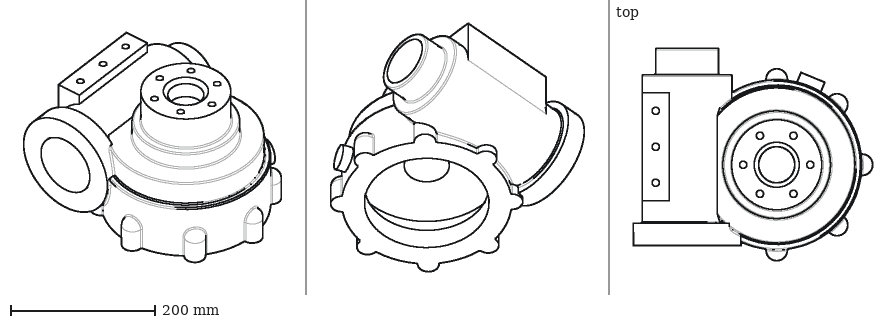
import cadquery as cq
import math


OVERALL_LENGTH = 332.0
EDGE_ROUND = 2.0
BOSS_BLEND = 2.0
TOLERANCE = 0.03
OUTLINE_SAMPLES = (0, 0.3, 0.6, 1)

BASE_RADIUS = 118.0
BASE_TOP = 84.0
COVER_RADIUS = 108.5
COVER_TOP = 121.0
COLLAR_RADIUS = 74.7
COLLAR_TOP = 146.7
HUB_RADIUS = 62.5
HUB_TOP = 198.0

WALL = 10.0
CAVITY_RADIUS = BASE_RADIUS - WALL
CAVITY_TOP = BASE_TOP - WALL
LIP_OPENING_RADIUS = 86.3
BORE_RADIUS = 25.0
BORE_CHAMFER = 6.3
BORE_LENGTH = 29.2
RELIEF_RADIUS = BORE_RADIUS + BORE_CHAMFER

BOSS_COUNT = 8
BOSS_RADIUS = 15.0
BOSS_CIRCLE_RADIUS = 118.2
BOSS_HEIGHT = 34.2

STUB_ANGLE = 67.5
STUB_RADIUS = 18.0
STUB_REACH = 131.0
STUB_HEIGHT = BASE_TOP / 2

FLANGE_RADIUS = 74.7
FLANGE_FRONT = -112.0
FLANGE_THICKNESS = 31.0
FLANGE_BACK = FLANGE_FRONT + FLANGE_THICKNESS
BARREL_RADIUS = 62.5
BARREL_END = 124.8
NECK_RADIUS = 43.8
NECK_END = 161.5
WORM_BORE_RADIUS = 43.5
WORM_BORE_END = BARREL_END - WALL
NECK_BORE_RADIUS = 35.0
NECK_BORE_CHAMFER = 3.3
WORM_X = -(OVERALL_LENGTH - BOSS_CIRCLE_RADIUS - BOSS_RADIUS - FLANGE_RADIUS)
WORM_Z = FLANGE_RADIUS

PAD_WIDTH = 37.5
PAD_LENGTH = 150.0
PAD_CENTER_Y = 25.0
PAD_TOP = 147.7
PAD_LEFT = WORM_X - BARREL_RADIUS
PAD_HOLE_COUNT = 3
PAD_HOLE_PITCH = 49.8
PAD_HOLE_INSET = 19.0

SCREW_RADIUS = 5.0
SCREW_DEPTH = 20.0
DRILL_TIP_ANGLE = 118
HUB_HOLE_COUNT = 6
HUB_HOLE_CIRCLE_RADIUS = 46.5


def disc(radius, bottom, top):
    """Cylinder on the wheel axis."""
    return cq.Workplane("XY").workplane(offset=bottom).circle(radius).extrude(top - bottom)


def worm_disc(radius, start, end):
    """Cylinder on the worm axis, from y = start to y = end."""
    plane = cq.Plane(origin=(WORM_X, start, WORM_Z), xDir=(1, 0, 0), normal=(0, 1, 0))
    return cq.Workplane(plane).circle(radius).extrude(end - start)


def wheel_housing():
    tiers = disc(BASE_RADIUS, 0, BASE_TOP)
    tiers = tiers.union(disc(COVER_RADIUS, BASE_TOP, COVER_TOP))
    tiers = tiers.union(disc(COLLAR_RADIUS, COVER_TOP, COLLAR_TOP))
    return tiers.union(disc(HUB_RADIUS, COLLAR_TOP, HUB_TOP))


def worm_barrel():
    barrel = worm_disc(FLANGE_RADIUS, FLANGE_FRONT, FLANGE_BACK)
    barrel = barrel.union(worm_disc(BARREL_RADIUS, FLANGE_BACK, BARREL_END))
    return barrel.union(worm_disc(NECK_RADIUS, BARREL_END, NECK_END))


def is_rounded(edge):
    """True for shoulders and seams; the base, hub face, flange rims and straight edges stay sharp."""
    if edge.geomType() == "LINE":
        return False
    if edge.geomType() != "CIRCLE":
        return True
    center = edge.Center()
    on_end_face = min(abs(center.z), abs(center.z - HUB_TOP)) < TOLERANCE
    near_flange = center.y < FLANGE_BACK + TOLERANCE
    on_flange_rim = near_flange and edge.radius() > BARREL_RADIUS + TOLERANCE
    return not on_end_face and not on_flange_rim


def is_boss_outline(edge):
    """True for the edges where the screw boss meets the base cylinder."""
    center = edge.Center()
    samples = [edge.positionAt(t) for t in OUTLINE_SAMPLES]
    on_cylinder = all(abs(math.hypot(p.x, p.y) - BASE_RADIUS) < TOLERANCE for p in samples)
    return on_cylinder and edge.geomType() != "CIRCLE" and center.x > 0


def filleted_boss():
    """Base cylinder carrying one domed boss on the +X side, blended into it."""
    column = cq.Workplane("XY").circle(BOSS_RADIUS).extrude(BOSS_HEIGHT)
    dome = cq.Workplane("XY").sphere(BOSS_RADIUS).translate((0, 0, BOSS_HEIGHT))
    boss = column.union(dome.intersect(disc(BOSS_RADIUS, 0, BASE_TOP)))
    boss = boss.translate((BOSS_CIRCLE_RADIUS, 0, 0))
    base = disc(BASE_RADIUS, 0, BASE_TOP - 2 * EDGE_ROUND).rotate((0, 0, 0), (0, 0, 1), 180)
    return base.union(boss).edges().filter(is_boss_outline).fillet(BOSS_BLEND)


def side_stub():
    stub = cq.Workplane("YZ").center(0, STUB_HEIGHT).circle(STUB_RADIUS).extrude(STUB_REACH)
    return stub.rotate((0, 0, 0), (0, 0, 1), STUB_ANGLE)


def mounting_pad():
    pad = cq.Workplane("XY").box(PAD_WIDTH, PAD_LENGTH, PAD_TOP - WORM_Z, centered=(False, True, False))
    return pad.translate((PAD_LEFT, PAD_CENTER_Y, WORM_Z))


def screw_hole(x, y, top):
    """Drilled blind hole with a conical bottom."""
    tip_depth = SCREW_RADIUS / math.tan(math.radians(DRILL_TIP_ANGLE / 2))
    profile = [(0, 0), (SCREW_RADIUS, 0), (SCREW_RADIUS, -SCREW_DEPTH), (0, -SCREW_DEPTH - tip_depth)]
    hole = cq.Workplane("XZ").polyline(profile).close().revolve(360, (0, 0), (0, 1))
    return hole.translate((x, y, top))


def wheel_cavity():
    cavity = disc(CAVITY_RADIUS, BOSS_HEIGHT, CAVITY_TOP)
    cavity = cavity.union(disc(LIP_OPENING_RADIUS, 0, BOSS_HEIGHT))
    cavity = cavity.union(disc(RELIEF_RADIUS, CAVITY_TOP, HUB_TOP - BORE_LENGTH))
    bore = disc(BORE_RADIUS, HUB_TOP - BORE_LENGTH, HUB_TOP)
    mouth = disc(RELIEF_RADIUS, HUB_TOP - BORE_CHAMFER, HUB_TOP + BORE_CHAMFER)
    mouth = mouth.faces("<Z").edges().chamfer(BORE_CHAMFER)
    return cavity.union(bore).union(mouth)


def worm_bore():
    bore = worm_disc(WORM_BORE_RADIUS, FLANGE_FRONT, WORM_BORE_END)
    bore = bore.union(worm_disc(NECK_BORE_RADIUS, WORM_BORE_END, NECK_END))
    lead_in_radius = NECK_BORE_RADIUS + NECK_BORE_CHAMFER
    lead_in = worm_disc(lead_in_radius, WORM_BORE_END - NECK_BORE_CHAMFER, WORM_BORE_END + NECK_BORE_CHAMFER)
    return bore.union(lead_in.faces(">Y").edges().chamfer(NECK_BORE_CHAMFER))


result = wheel_housing().union(worm_barrel())
result = result.edges().filter(is_rounded).fillet(EDGE_ROUND)

boss = filleted_boss()
for i in range(BOSS_COUNT):
    result = result.union(boss.rotate((0, 0, 0), (0, 0, 1), i * 360 / BOSS_COUNT))

result = result.union(side_stub()).union(mounting_pad())
result = result.cut(wheel_cavity()).cut(worm_bore())

for i in range(PAD_HOLE_COUNT):
    offset = (i - (PAD_HOLE_COUNT - 1) / 2) * PAD_HOLE_PITCH
    result = result.cut(screw_hole(PAD_LEFT + PAD_HOLE_INSET, PAD_CENTER_Y + offset, PAD_TOP))

for i in range(HUB_HOLE_COUNT):
    angle = 2 * math.pi * i / HUB_HOLE_COUNT
    x = HUB_HOLE_CIRCLE_RADIUS * math.cos(angle)
    y = HUB_HOLE_CIRCLE_RADIUS * math.sin(angle)
    result = result.cut(screw_hole(x, y, HUB_TOP))